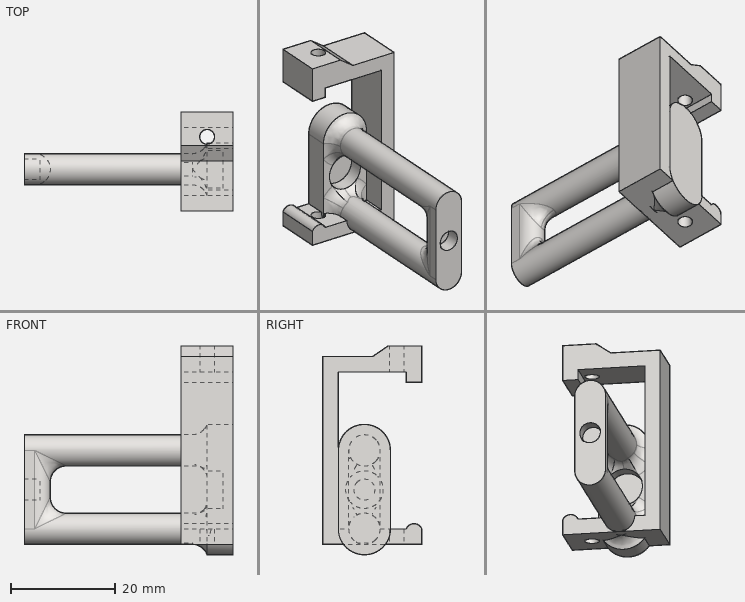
import cadquery as cq
import math

handle_length = 40.0
rod_radius = 3.0
foot_radius = 5.0
foot_thickness = 5.0
grip_flat_depth = 2.0
rod_spacing = 15.0
blend_radius = 3.0
grip_hole_diameter = 4.0
grip_hole_depth = 3.0
foot_hole_diameter = 7.2
foot_hole_depth = 3.0
lower_rod_z = foot_radius
handle_mid_z = lower_rod_z + rod_spacing / 2
foot_face_x = handle_length - foot_thickness

blend_rise = foot_radius - rod_radius
blend_length = math.sqrt(blend_radius**2 - (blend_radius - blend_rise) ** 2)
blend_start_x = foot_face_x - blend_length

clip_width = 10.0
clip_depth = 19.0
clip_wall = 3.0
clip_bottom = 2.0
clip_arm_top = 38.0
clip_top = 40.0
jaw_thickness = 3.0
hook_drop = 2.0
ridge_height = 1.0
ramp_start_y = 9.6
ramp_end_y = 12.5
screw_hole_diameter = 2.8
screw_hole_y = 14.2
clip_front_x = handle_length - clip_width

web_thickness = 0.3

recess_tolerance = 1e-4

handle_y = clip_wall + foot_radius


def lower_foot():
    """Lower half of the round-ended foot plate."""
    half_height = rod_spacing / 2
    return (
        cq.Workplane("YZ", origin=(foot_face_x, handle_y, lower_rod_z))
        .moveTo(foot_radius, 0)
        .lineTo(foot_radius, half_height)
        .lineTo(-foot_radius, half_height)
        .lineTo(-foot_radius, 0)
        .threePointArc((0, -foot_radius), (foot_radius, 0))
        .close()
        .extrude(foot_thickness)
    )


def lower_rod():
    """Lower rod, turned so that the cylinder's seam faces the other rod."""
    rod = cq.Workplane("YZ").circle(rod_radius).extrude(foot_face_x)
    return rod.rotate((0, 0, 0), (1, 0, 0), 90).translate((0, handle_y, lower_rod_z))


def lower_grip():
    """Lower half of the grip bar: flat on the outside, half round toward the window."""
    return (
        cq.Workplane("XY", origin=(0, handle_y, lower_rod_z))
        .moveTo(0, -rod_radius)
        .lineTo(grip_flat_depth, -rod_radius)
        .threePointArc((grip_flat_depth + rod_radius, 0), (grip_flat_depth, rod_radius))
        .lineTo(0, rod_radius)
        .close()
        .extrude(rod_spacing / 2)
    )


def blind_hole(start_x, diameter, depth):
    """Cutter for a hole along X at the middle of the handle."""
    hole_start = cq.Workplane("YZ", origin=(start_x, handle_y, handle_mid_z))
    return hole_start.circle(diameter / 2).extrude(depth)


def rod_web():
    """Block of clip floor under the lower rod, between the clip's front face and the blend."""
    corner = cq.Workplane("XY", origin=(clip_front_x, handle_y, clip_bottom))
    web_length = blend_start_x - clip_front_x
    return corner.box(web_length, 2 * rod_radius, web_thickness, centered=(False, True, False))


def make_handle():
    foot = lower_foot().cut(blind_hole(foot_face_x, foot_hole_diameter, foot_hole_depth))
    half = lower_rod().union(foot)
    rod_root = cq.selectors.NearestToPointSelector((foot_face_x, handle_y, lower_rod_z))
    half = half.edges("%CIRCLE").edges(rod_root).fillet(blend_radius)
    half = half.union(lower_grip()).edges("%ELLIPSE").fillet(blend_radius)

    handle = half.union(half.mirror("XY", (0, 0, handle_mid_z)))
    handle = handle.cut(blind_hole(0, grip_hole_diameter, grip_hole_depth))
    return handle.cut(rod_web())


def make_clip():
    jaw_y = clip_depth - jaw_thickness
    floor_z = clip_bottom + clip_wall
    ceiling_z = clip_arm_top - clip_wall
    bracket = (
        cq.Workplane("YZ", origin=(clip_front_x, 0, 0))
        .moveTo(0, clip_bottom)
        .lineTo(clip_depth, clip_bottom)
        .lineTo(clip_depth, floor_z)
        .threePointArc((clip_depth - jaw_thickness / 2, floor_z + ridge_height), (jaw_y, floor_z))
        .lineTo(clip_wall, floor_z)
        .lineTo(clip_wall, ceiling_z)
        .lineTo(jaw_y, ceiling_z)
        .lineTo(jaw_y, ceiling_z - hook_drop)
        .lineTo(clip_depth, ceiling_z - hook_drop)
        .lineTo(clip_depth, clip_top)
        .lineTo(ramp_end_y, clip_top)
        .lineTo(ramp_start_y, clip_arm_top)
        .lineTo(0, clip_arm_top)
        .close()
        .extrude(clip_width)
    )
    screw_hole = cq.Workplane("XY", origin=(handle_length - clip_width / 2, screw_hole_y, 0))
    return bracket.cut(screw_hole.circle(screw_hole_diameter / 2).extrude(clip_top))


handle = make_handle()
clip = make_clip().cut(handle, tol=recess_tolerance)

result = cq.Compound.makeCompound([handle.solids().val(), clip.solids().val()])